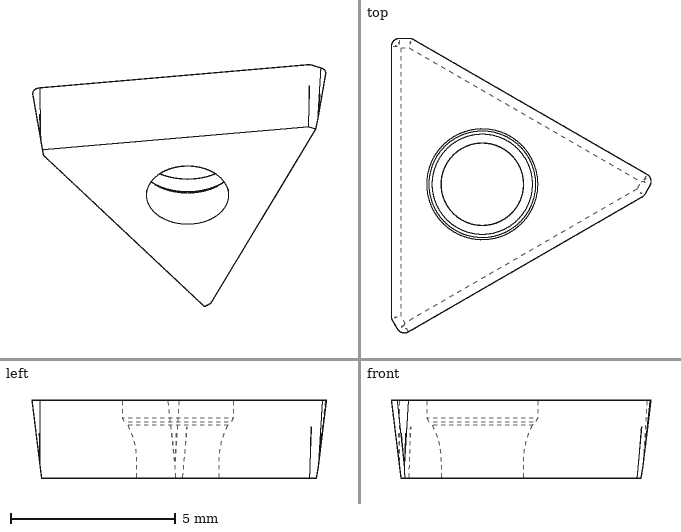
import cadquery as cq
import math

thickness = 2.38
inscribed_radius = 2.766
clearance_angle = 7.0
facet_distance = 4.437
nose_radius = 0.25
shoulder_radius = 0.2

recess_radius = 1.688
recess_depth = 0.545
step_radius = 1.622
step_depth = 0.67
seat_radius = 1.525
seat_depth = 0.755
bore_radius = 1.25
bore_depth = 1.86

CORNERS = 3
HALF_TURN = 180.0
FULL_TURN = 2 * HALF_TURN
corner_step = FULL_TURN / CORNERS


def turned(point, angle):
    """Turn a plan point about the hole axis by an angle in degrees."""
    x, y = point
    cosine = math.cos(math.radians(angle))
    sine = math.sin(math.radians(angle))
    return (x * cosine - y * sine, x * sine + y * cosine)


nose_point = (-inscribed_radius, facet_distance)
apex_height = inscribed_radius * math.tan(math.radians(HALF_TURN / CORNERS))
facet_length = (apex_height - facet_distance) * math.tan(math.radians(HALF_TURN / CORNERS))
shoulder_point = (nose_point[0] + facet_length, facet_distance)


def make_body():
    """Sharp-cornered insert whose walls lean inwards towards the bottom."""
    outline = []
    for i in range(CORNERS):
        outline.append(turned(nose_point, -i * corner_step))
        outline.append(turned(shoulder_point, -i * corner_step))
    sketch = cq.Workplane("XY").workplane(offset=thickness).polyline(outline).close()
    return sketch.extrude(-thickness, taper=clearance_angle)


def make_rounding_cutter(corner, radius, normal_angles):
    """Wedge outside a downward cone that rounds a sharp corner between two walls.

    normal_angles are the plan directions, in degrees, of the two walls' outward normals.
    """
    first, second = (math.radians(a) for a in normal_angles)
    middle = (first + second) / 2
    centre_offset = radius / math.cos((first - second) / 2)
    centre = (
        corner[0] - centre_offset * math.cos(middle),
        corner[1] - centre_offset * math.sin(middle),
    )
    reach = 2 * radius
    cone_height = radius / math.tan(math.radians(clearance_angle))

    def along(angle, distance):
        return (centre[0] + distance * math.cos(angle), centre[1] + distance * math.sin(angle))

    tip = along(middle, reach / math.cos((first - second) / 2))
    wedge = (
        cq.Workplane("XY")
        .workplane(offset=thickness)
        .polyline([centre, along(first, reach), tip, along(second, reach)])
        .close()
        .extrude(-cone_height)
    )
    cone = cq.Solid.makeCone(
        radius, 0, cone_height, cq.Vector(*centre, thickness), cq.Vector(0, 0, -1)
    )
    return wedge.cut(cq.Workplane(cone))


def round_corners(body):
    """Round the nose and the blunt shoulder of all three corners."""
    side_normal = HALF_TURN
    facet_normal = HALF_TURN / 2
    next_side_normal = side_normal - corner_step
    nose_cutter = make_rounding_cutter(nose_point, nose_radius, (side_normal, facet_normal))
    shoulder_cutter = make_rounding_cutter(
        shoulder_point, shoulder_radius, (facet_normal, next_side_normal)
    )
    for cutter in (nose_cutter, shoulder_cutter):
        for i in range(CORNERS):
            body = body.cut(cutter.rotate((0, 0, 0), (0, 0, 1), -i * corner_step))
    return body


def make_hole():
    """Stepped screw hole; the curved seat runs tangent into the bore."""
    seat_rise = bore_depth - seat_depth
    seat_inset = seat_radius - bore_radius
    seat_curve = (seat_rise**2 + seat_inset**2) / (2 * seat_inset)
    half_sweep = math.asin(seat_rise / seat_curve) / 2
    seat_middle = (
        bore_radius + seat_curve * (1 - math.cos(half_sweep)),
        thickness - bore_depth + seat_curve * math.sin(half_sweep),
    )
    return (
        cq.Workplane("XZ")
        .moveTo(0, thickness)
        .lineTo(recess_radius, thickness)
        .lineTo(recess_radius, thickness - recess_depth)
        .lineTo(step_radius, thickness - step_depth)
        .lineTo(seat_radius, thickness - seat_depth)
        .threePointArc(seat_middle, (bore_radius, thickness - bore_depth))
        .lineTo(bore_radius, 0)
        .lineTo(0, 0)
        .close()
        .revolve(FULL_TURN, (0, 0, 0), (0, 1, 0))
    )


result = round_corners(make_body()).cut(make_hole())